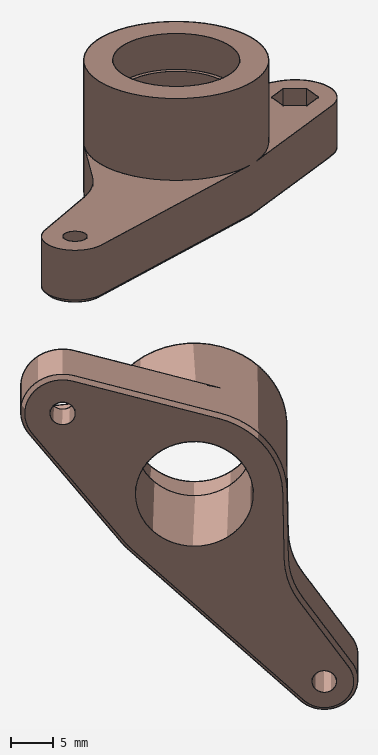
import cadquery as cq
import math

HUB_DIAMETER = 22.0
TOTAL_HEIGHT = 17.7
BORE_DIAMETER = 14.0
SEAT_DIAMETER = 15.1
SEAT_DEPTH = 4.7

PLATE_THICKNESS = 7.0
BOTTOM_CHAMFER = 0.5

NUT_ARM_CENTER = (0.0, 19.0)
NUT_ARM_RADIUS = 5.0
NUT_HOLE_DIAMETER = 3.0
NUT_ACROSS_FLATS = 4.85
NUT_POCKET_DEPTH = 3.0

LONG_ARM_CENTER = (11.95, -26.95)
LONG_ARM_RADIUS = 4.0
LONG_ARM_HOLE_DIAMETER = 2.9
HUB_FLANK_NORMAL = 234.4
TIP_FLANK_NORMAL = 201.6
FLANK_BLEND_RADIUS = 10.0

HUB_RADIUS = HUB_DIAMETER / 2
HUB_CENTER = (0.0, 0.0)

HALF_TURN = 180.0
FULL_TURN = 360.0


def polar_point(center, radius, angle):
    """Point at the given radius and angle (degrees) from a center."""
    return (
        center[0] + radius * math.cos(math.radians(angle)),
        center[1] + radius * math.sin(math.radians(angle)),
    )


def tangent_offset(tip_center, tip_radius):
    """Angle between an arm's axis and the normal of its line tangent to hub and tip."""
    return math.degrees(math.acos((HUB_RADIUS - tip_radius) / math.hypot(*tip_center)))


def axis_angle(tip_center):
    """Direction of an arm, in degrees."""
    return math.degrees(math.atan2(tip_center[1], tip_center[0]))


NUT_ARM_ANGLE = axis_angle(NUT_ARM_CENTER)
NUT_ARM_OFFSET = tangent_offset(NUT_ARM_CENTER, NUT_ARM_RADIUS)
NUT_RIGHT_NORMAL = NUT_ARM_ANGLE - NUT_ARM_OFFSET
NUT_LEFT_NORMAL = NUT_ARM_ANGLE + NUT_ARM_OFFSET
LONG_RIGHT_NORMAL = axis_angle(LONG_ARM_CENTER) + tangent_offset(LONG_ARM_CENTER, LONG_ARM_RADIUS)


def flank_blend_center():
    """Center of the concave arc, which lies outside both inner flanks of the long arm."""
    hub_angle = math.radians(HUB_FLANK_NORMAL)
    tip_angle = math.radians(TIP_FLANK_NORMAL)
    hub_distance = HUB_RADIUS + FLANK_BLEND_RADIUS
    tip_distance = (
        LONG_ARM_CENTER[0] * math.cos(tip_angle)
        + LONG_ARM_CENTER[1] * math.sin(tip_angle)
        + LONG_ARM_RADIUS
        + FLANK_BLEND_RADIUS
    )
    determinant = math.sin(tip_angle - hub_angle)
    x = (hub_distance * math.sin(tip_angle) - tip_distance * math.sin(hub_angle)) / determinant
    y = (tip_distance * math.cos(hub_angle) - hub_distance * math.cos(tip_angle)) / determinant
    return (x, y)


def add_arc(sketch, center, radius, start_angle, end_angle):
    """Continue the outline with an arc from the current point to the end angle."""
    middle = polar_point(center, radius, (start_angle + end_angle) / 2)
    end = polar_point(center, radius, end_angle)
    return sketch.threePointArc(middle, end)


def make_plate():
    """Lever plate: tangent arms around the hub, with the lower edge chamfered."""
    blend_center = flank_blend_center()

    outline = cq.Workplane("XY").moveTo(*polar_point(HUB_CENTER, HUB_RADIUS, LONG_RIGHT_NORMAL))
    outline = add_arc(outline, HUB_CENTER, HUB_RADIUS, LONG_RIGHT_NORMAL, NUT_RIGHT_NORMAL)
    outline = outline.lineTo(*polar_point(NUT_ARM_CENTER, NUT_ARM_RADIUS, NUT_RIGHT_NORMAL))
    outline = add_arc(outline, NUT_ARM_CENTER, NUT_ARM_RADIUS, NUT_RIGHT_NORMAL, NUT_LEFT_NORMAL)
    outline = outline.lineTo(*polar_point(HUB_CENTER, HUB_RADIUS, NUT_LEFT_NORMAL))
    outline = add_arc(outline, HUB_CENTER, HUB_RADIUS, NUT_LEFT_NORMAL, HUB_FLANK_NORMAL)
    blend_start = HUB_FLANK_NORMAL - HALF_TURN
    blend_end = TIP_FLANK_NORMAL - HALF_TURN
    outline = outline.lineTo(*polar_point(blend_center, FLANK_BLEND_RADIUS, blend_start))
    outline = add_arc(outline, blend_center, FLANK_BLEND_RADIUS, blend_start, blend_end)
    outline = outline.lineTo(*polar_point(LONG_ARM_CENTER, LONG_ARM_RADIUS, TIP_FLANK_NORMAL))
    outline = add_arc(
        outline, LONG_ARM_CENTER, LONG_ARM_RADIUS, TIP_FLANK_NORMAL, LONG_RIGHT_NORMAL + FULL_TURN
    )
    plate = outline.close().extrude(PLATE_THICKNESS)
    return plate.faces("<Z").edges().chamfer(BOTTOM_CHAMFER)


def make_hub():
    """Cylinder that rises from the plate to the full height."""
    height = TOTAL_HEIGHT - PLATE_THICKNESS
    return cq.Workplane("XY").workplane(offset=PLATE_THICKNESS).circle(HUB_RADIUS).extrude(height)


def make_cylinder(center, diameter, bottom, top):
    """Vertical cylinder used as a cutter."""
    profile = cq.Workplane("XY").workplane(offset=bottom).moveTo(*center).circle(diameter / 2)
    return profile.extrude(top - bottom)


def make_nut_pocket():
    """Hexagonal cutter with one pair of flats parallel to the right edge of the nut arm."""
    corner_radius = NUT_ACROSS_FLATS / math.sqrt(3)
    sides = 6
    step = FULL_TURN / sides
    first_corner = NUT_RIGHT_NORMAL + step / 2
    corners = [
        polar_point(NUT_ARM_CENTER, corner_radius, first_corner + i * step)
        for i in range(sides)
    ]
    floor = PLATE_THICKNESS - NUT_POCKET_DEPTH
    return cq.Workplane("XY").workplane(offset=floor).polyline(corners).close().extrude(NUT_POCKET_DEPTH)


result = make_plate().union(make_hub())
result = result.cut(make_cylinder(HUB_CENTER, BORE_DIAMETER, 0, TOTAL_HEIGHT))
result = result.cut(make_cylinder(HUB_CENTER, SEAT_DIAMETER, TOTAL_HEIGHT - SEAT_DEPTH, TOTAL_HEIGHT))
result = result.cut(make_cylinder(NUT_ARM_CENTER, NUT_HOLE_DIAMETER, 0, PLATE_THICKNESS))
result = result.cut(make_nut_pocket())
result = result.cut(make_cylinder(LONG_ARM_CENTER, LONG_ARM_HOLE_DIAMETER, 0, PLATE_THICKNESS))